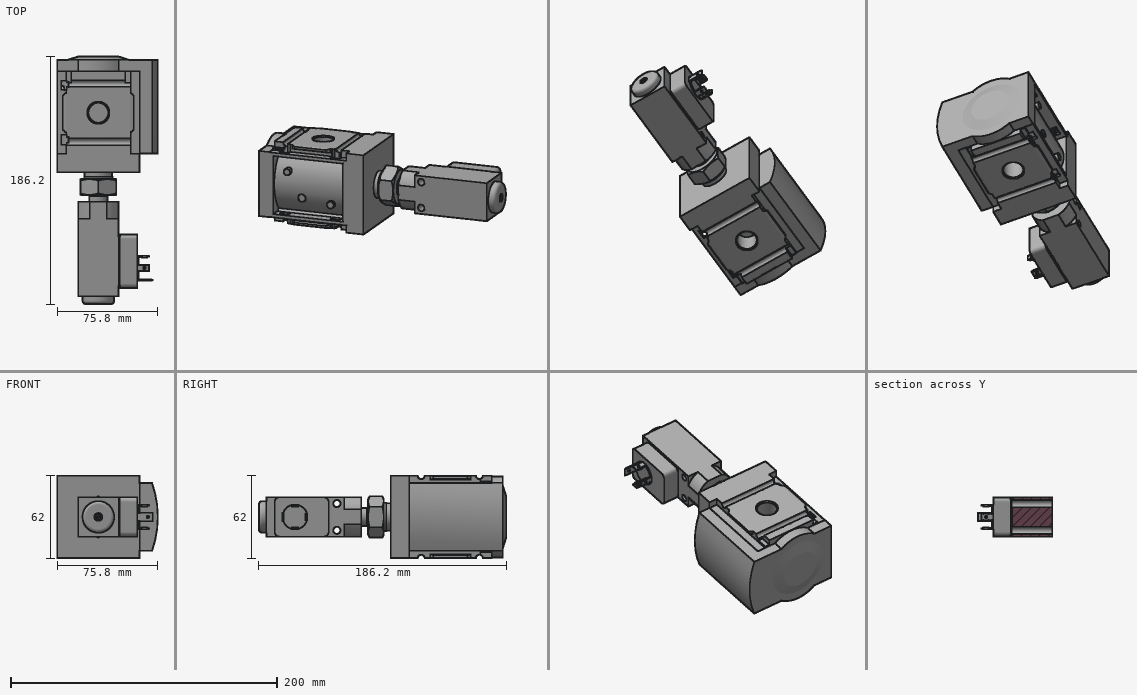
import cadquery as cq
import math


OVERALL_L = 186.2
CLEAR = 1.9

BODY_SIZE = 62.0
HALF = BODY_SIZE / 2
OVERALL_W = 75.8
PLATE_T = 14.0
BLOCK_END_Y = 76.0
BACK_Y = 84.3
BLOCK_HALF_X = 24.2
LEDGE_Z = 25.3
FRAME_Z = 25.5
COVER_EDGE_X = 40.4
COVER_CROWN_X = OVERALL_W - HALF
BOSS_R = 25.5
BOSS_TOP_Z = 30.5
DOME_R = 23.5
DOME_FLAT_R = 15.0
DOME_H = 2.6

PORT_Y = 44.7
PORT_D = 14.9
PORT_MOUTH_D = 16.8
PORT_DEPTH = 18.6

GROOVE_D = 5.0
GROOVES_Y = (22.9, 66.7)
NOTCH_START_Y = 67.2
NOTCH_FLOOR_Z = 26.6
NOTCH_W = 4.0
SLOT_OUTER_X = -27.7
SLOT_STEP_X = -23.6
SLOT_INNER_X = -22.5
SLOT_SPANS_Y = (
    ((20.7, 28.1), (22.3, 26.5)),
    ((61.8, 68.9), (64.0, 67.8)),
)

TAB_TIP_X = 26.6
TAB_TIP_Z = 30.5
TAB_LIP_Z = 28.9
TAB_ROOT_Z = 28.0
TAB_START_Y = 29.6
TAB_END_Y = 60.0
TAB_CORNER = TAB_TIP_X - BLOCK_HALF_X

WINDOW_START_Y = 16.8
WINDOW_END_Y = 72.8
WINDOW_Z = 22.7
WINDOW_BACK_Z = 21.0
WINDOW_FLOOR_X = -22.3
CORE_R = 28.9
WINDOW_PINS = (
    (62.2, 11.0, 5.2, -30.0),
    (50.8, -8.5, 6.0, -28.3),
    (27.2, -11.0, 5.5, -30.0),
)

SHANK_D = 21.5
SHANK_RELIEF_D = 20.9
SHANK_RELIEF_END_Y = -3.4
NUT_START_Y = -5.0
NUT_END_Y = -17.1
NUT_FLATS = 27.0
NUT_CORNERS = NUT_FLATS / math.cos(math.pi / 6)
NUT_FACE_D = 26.0
STEM_D = 13.8
STEM_RELIEF_D = 13.4
STEM_RELIEF_END_Y = -18.0

COIL_START_Y = -22.0
COIL_END_Y = -93.3
COIL_W = 30.4
COIL_H = 29.8
COLLAR_R = 16.2
COLLAR_END_Y = -35.0
BOLT_HOLE_D = 5.2
BOLT_HOLE_Y = -40.4
BOLT_HOLE_Z = 10.0
KNOB_D = 23.8
KNOB_END_Y = -99.0
KNOB_FILLET = 2.6
STUD_D = 5.0
STUD_CHAMFER = 0.5
STUD_RECESS_D = 6.0
STUD_RECESS_DEPTH = 1.1
STUD_END_Y = BACK_Y + DOME_H - OVERALL_L
DRIVER_SLOT_W = 0.7

PLUG_START_X = 16.2
PLUG_END_X = 29.2
PLUG_L = 40.4
PLUG_H = 29.5
PLUG_MID_Y = -66.8
PLUG_FILLET = 3.4
NECK_L = 37.5
NECK_H = 26.0
PAD_D = 18.6
PAD_T = 1.1
CONTACT_Y = -71.9
SIGNAL_OFFSET = 8.8
BLADE_T = 1.1
BLADE_W = 4.7
BLADE_END_X = 38.2
BLADE_HOLE_D = 1.65
RIB_T = 0.5
RIB_START_X = 32.8
RIB_END_X = 36.7
BLADE_HOLE_X = 34.6
EARTH_OFFSET = 9.1
EARTH_W = 6.1
EARTH_END_X = 40.8
EARTH_HOLE_X = 37.0
BLADE_TAPER = 0.4
BLADE_TAPER_L = 1.5


def box(x_span, y_span, z_span):
    """Box between two limits along each axis."""
    size = [span[1] - span[0] for span in (x_span, y_span, z_span)]
    corner = (x_span[0], y_span[0], z_span[0])
    return cq.Workplane("XY").box(*size, centered=False).translate(corner)


def rod_y(diameter, front_y, rear_y):
    """Round bar on the Y axis."""
    return cq.Workplane("XZ", origin=(0, rear_y, 0)).circle(diameter / 2).extrude(rear_y - front_y)


def top_and_bottom(shape):
    """A shape joined with its mirror image below the XY plane."""
    return shape.union(shape.mirror("XY"))




def side_cover():
    """Cover on the +X side with a curved outer face."""
    return (
        cq.Workplane("XZ", origin=(0, BACK_Y, 0))
        .moveTo(HALF, -FRAME_Z)
        .lineTo(COVER_EDGE_X, -FRAME_Z)
        .threePointArc((COVER_CROWN_X, 0), (COVER_EDGE_X, FRAME_Z))
        .lineTo(HALF, FRAME_Z)
        .close()
        .extrude(BACK_Y - PLATE_T)
    )


def rear_boss():
    """Round boss above the rear frame."""
    return rod_y(2 * BOSS_R, BLOCK_END_Y, BACK_Y).translate((0, 0, BOSS_TOP_Z - BOSS_R))


def rear_dome():
    """Shallow cone with a flat top on the rear face."""
    return (
        cq.Workplane("XY")
        .moveTo(0, BACK_Y)
        .lineTo(DOME_R, BACK_Y)
        .lineTo(DOME_FLAT_R, BACK_Y + DOME_H)
        .lineTo(0, BACK_Y + DOME_H)
        .close()
        .revolve(360, (0, 0, 0), (0, 1, 0))
    )


def tab():
    """Overhanging tab with bevelled ends, on the block's upper +X edge."""
    section = (
        cq.Workplane("XZ", origin=(0, TAB_END_Y, 0))
        .polyline([
            (BLOCK_HALF_X, HALF),
            (TAB_TIP_X, TAB_TIP_Z),
            (TAB_TIP_X, TAB_LIP_Z),
            (BLOCK_HALF_X, TAB_ROOT_Z),
        ])
        .close()
        .extrude(TAB_END_Y - TAB_START_Y)
    )
    outline = (
        cq.Workplane("XY")
        .polyline([
            (BLOCK_HALF_X, TAB_START_Y),
            (TAB_TIP_X, TAB_START_Y + TAB_CORNER),
            (TAB_TIP_X, TAB_END_Y - TAB_CORNER),
            (BLOCK_HALF_X, TAB_END_Y),
        ])
        .close()
        .extrude(HALF)
    )
    return section.intersect(outline)


def port():
    """Blind port in the top face with a chamfered mouth."""
    mouth = (PORT_MOUTH_D - PORT_D) / 2
    bore = (
        cq.Workplane("XY", origin=(0, PORT_Y, HALF - PORT_DEPTH))
        .circle(PORT_D / 2)
        .extrude(PORT_DEPTH)
    )
    cone = cq.Workplane("XY").add(cq.Solid.makeCone(
        PORT_D / 2, PORT_MOUTH_D / 2, mouth, pnt=cq.Vector(0, PORT_Y, HALF - mouth)
    ))
    return bore.union(cone)


def clamp_cuts():
    """Grooves, corner notches and T-shaped slots in the upper half of the block."""
    cuts = (
        cq.Workplane("YZ", origin=(-HALF, 0, 0))
        .pushPoints([(y, HALF) for y in GROOVES_Y])
        .circle(GROOVE_D / 2)
        .extrude(BODY_SIZE)
    )
    cuts = cuts.intersect(box((-BLOCK_HALF_X, BLOCK_HALF_X), (0, BACK_Y), (0, BODY_SIZE)))
    notch_z = (NOTCH_FLOOR_Z, HALF + CLEAR)
    notch = box((BLOCK_HALF_X - NOTCH_W, BLOCK_HALF_X), (NOTCH_START_Y, BLOCK_END_Y), notch_z)
    cuts = cuts.union(notch).union(notch.mirror("YZ"))
    slot_z = (WINDOW_BACK_Z, HALF + CLEAR)
    for wide, neck in SLOT_SPANS_Y:
        cuts = cuts.union(box((SLOT_OUTER_X, SLOT_STEP_X), wide, slot_z))
        cuts = cuts.union(box((SLOT_STEP_X, SLOT_INNER_X), neck, slot_z))
    return cuts


def window():
    """Pocket in the -X side that leaves a round core standing behind it."""
    core_edge_x = -math.sqrt(CORE_R**2 - WINDOW_BACK_Z**2)
    return (
        cq.Workplane("XZ", origin=(0, WINDOW_END_Y, 0))
        .moveTo(-HALF, WINDOW_Z)
        .lineTo(-HALF, -WINDOW_Z)
        .lineTo(WINDOW_FLOOR_X, -WINDOW_Z)
        .lineTo(core_edge_x, -WINDOW_BACK_Z)
        .threePointArc((-CORE_R, 0), (core_edge_x, WINDOW_BACK_Z))
        .lineTo(WINDOW_FLOOR_X, WINDOW_Z)
        .close()
        .extrude(WINDOW_END_Y - WINDOW_START_Y)
    )


def window_pins():
    """Round pins standing on the core."""
    pins = cq.Workplane("XY")
    for y, z, diameter, end_x in WINDOW_PINS:
        pin = cq.Workplane("YZ", origin=(end_x, y, z)).circle(diameter / 2).extrude(CORE_R / 2)
        pins = pins.union(pin)
    return pins


def make_housing():
    ledged_block = box((-HALF, HALF), (PLATE_T, BLOCK_END_Y), (-LEDGE_Z, LEDGE_Z))
    front_plate = box((-HALF, HALF), (0, PLATE_T), (-HALF, HALF))
    centre_block = box((-BLOCK_HALF_X, BLOCK_HALF_X), (PLATE_T, BLOCK_END_Y), (-HALF, HALF))
    rear_frame = box((-HALF, HALF), (BLOCK_END_Y, BACK_Y), (-FRAME_Z, FRAME_Z))
    tabs = top_and_bottom(tab().union(tab().mirror("YZ")))
    body = (
        ledged_block.union(front_plate)
        .union(centre_block)
        .union(rear_frame)
        .union(side_cover())
        .union(top_and_bottom(rear_boss()))
        .union(rear_dome())
        .union(tabs)
    )
    body = body.cut(window()).cut(top_and_bottom(clamp_cuts())).cut(top_and_bottom(port()))
    return body.union(window_pins())




def hex_nut():
    """Hex nut with flats facing +X and -X and corners bevelled at both ends."""
    length = NUT_START_Y - NUT_END_Y
    prism = (
        cq.Workplane("XZ", origin=(0, NUT_START_Y, 0))
        .polygon(6, NUT_CORNERS)
        .extrude(length)
        .rotate((0, 0, 0), (0, 1, 0), 30)
    )
    bevel = (NUT_CORNERS - NUT_FACE_D) / 2
    return prism.intersect(rod_y(NUT_CORNERS, NUT_END_Y, NUT_START_Y).edges().chamfer(bevel / 2, bevel))


def make_fitting():
    relief = rod_y(SHANK_RELIEF_D, SHANK_RELIEF_END_Y, 0)
    shank = rod_y(SHANK_D, NUT_START_Y, SHANK_RELIEF_END_Y)
    stem_relief = rod_y(STEM_RELIEF_D, STEM_RELIEF_END_Y, NUT_END_Y)
    stem = rod_y(STEM_D, COIL_START_Y, STEM_RELIEF_END_Y)
    return hex_nut().union(shank).union(relief).union(stem_relief).union(stem)




def coil_block():
    """Rectangular coil with a rounded front stretch and two cross holes."""
    sides = ((-COIL_W / 2, COIL_W / 2), (-COIL_H / 2, COIL_H / 2))
    block = box(sides[0], (COIL_END_Y, COLLAR_END_Y), sides[1])
    collar = box(sides[0], (COLLAR_END_Y, COIL_START_Y), sides[1])
    collar = collar.intersect(rod_y(2 * COLLAR_R, COLLAR_END_Y, COIL_START_Y))
    holes = (
        cq.Workplane("YZ", origin=(-COIL_W / 2, 0, 0))
        .pushPoints([(BOLT_HOLE_Y, -BOLT_HOLE_Z), (BOLT_HOLE_Y, BOLT_HOLE_Z)])
        .circle(BOLT_HOLE_D / 2)
        .extrude(COIL_W)
    )
    return block.union(collar).cut(holes)


def knob():
    """Rounded end knob with a slotted stud in a small recess."""
    body = rod_y(KNOB_D, KNOB_END_Y, COIL_END_Y).faces("<Y").edges().fillet(KNOB_FILLET)
    recess_floor_y = KNOB_END_Y + STUD_RECESS_DEPTH
    body = body.cut(rod_y(STUD_RECESS_D, KNOB_END_Y, recess_floor_y))
    stud = rod_y(STUD_D, STUD_END_Y, recess_floor_y).faces("<Y").chamfer(STUD_CHAMFER)
    slot_half = DRIVER_SLOT_W / 2
    slot = box((-STUD_D, STUD_D), (STUD_END_Y, recess_floor_y), (-slot_half, slot_half))
    slot = slot.rotate((0, 0, 0), (0, 1, 0), -45)
    return body.union(stud.cut(slot))


def blade(width, end_x, hole_x):
    """Flat contact along +X, lying in the XY plane, with a bevelled tip and a hole."""
    half_t = BLADE_T / 2
    shoulder_x = end_x - BLADE_TAPER_L
    profile = (
        cq.Workplane("XZ", origin=(0, width / 2, 0))
        .polyline([
            (PLUG_END_X, -half_t),
            (shoulder_x, -half_t),
            (end_x, -half_t + BLADE_TAPER),
            (end_x, half_t - BLADE_TAPER),
            (shoulder_x, half_t),
            (PLUG_END_X, half_t),
        ])
        .close()
        .extrude(width)
    )
    return profile.cut(blade_hole(hole_x))


def blade_hole(hole_x):
    """Cutter for a blade's hole."""
    return cq.Workplane("XY", origin=(hole_x, 0, -BLADE_T)).circle(BLADE_HOLE_D / 2).extrude(2 * BLADE_T)


def signal_blade():
    """Blade with a raised strip on its inner face."""
    rib = box((RIB_START_X, RIB_END_X), (-BLADE_W / 2, BLADE_W / 2), (-BLADE_T / 2 - RIB_T, -BLADE_T / 2))
    return blade(BLADE_W, BLADE_END_X, BLADE_HOLE_X).union(rib.cut(blade_hole(BLADE_HOLE_X)))


def contacts():
    """Round pad carrying three signal blades and a longer, wider earth blade."""
    group = cq.Workplane("YZ", origin=(PLUG_END_X, 0, 0)).circle(PAD_D / 2).extrude(PAD_T)
    signal = signal_blade().translate((0, 0, SIGNAL_OFFSET))
    for angle in (0, -90, 180):
        group = group.union(signal.rotate((0, 0, 0), (1, 0, 0), angle))
    earth = blade(EARTH_W, EARTH_END_X, EARTH_HOLE_X).translate((0, 0, EARTH_OFFSET))
    group = group.union(earth.rotate((0, 0, 0), (1, 0, 0), 90))
    return group.translate((0, CONTACT_Y, 0))


def connector():
    """Plug housing with rounded edges on a short neck, plus its contacts."""
    depth = PLUG_END_X - PLUG_START_X
    plug = (
        cq.Workplane("YZ", origin=(PLUG_START_X, PLUG_MID_Y, 0))
        .rect(PLUG_L, PLUG_H)
        .extrude(depth)
        .edges("|X")
        .fillet(PLUG_FILLET)
    )
    neck = (
        cq.Workplane("YZ", origin=(COIL_W / 2, PLUG_MID_Y, 0))
        .rect(NECK_L, NECK_H)
        .extrude(PLUG_START_X - COIL_W / 2)
    )
    return plug.union(neck).union(contacts())


def make_coil():
    return coil_block().union(knob()).union(connector())


housing = make_housing()
fitting = make_fitting()
coil = make_coil()

result = cq.Compound.makeCompound([housing.val(), fitting.val(), coil.val()])